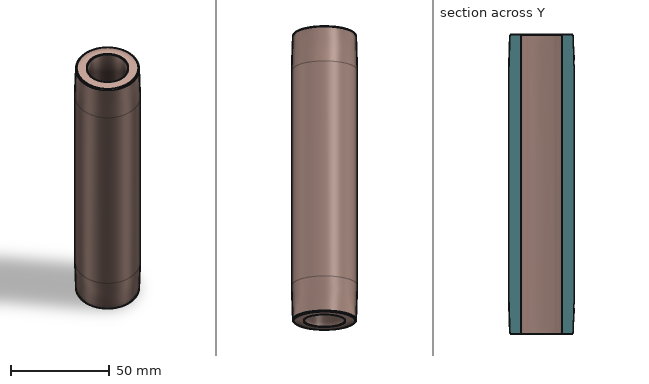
import cadquery as cq

length = 152.4
outer_diameter = 33.5
bore_diameter = 20.7

taper_length = 18.9
taper_ratio = 1 / 16

outer_chamfer = 0.6
bore_chamfer = 0.3

outer_radius = outer_diameter / 2
end_radius = outer_radius - taper_length * taper_ratio / 2


def tapered_body():
    """Solid of revolution: a cylinder narrowing to a cone at each end."""
    profile = (
        cq.Workplane("XZ")
        .moveTo(0, 0)
        .lineTo(end_radius, 0)
        .lineTo(outer_radius, taper_length)
        .lineTo(outer_radius, length - taper_length)
        .lineTo(end_radius, length)
        .lineTo(0, length)
        .close()
    )
    return profile.revolve(360, (0, 0, 0), (0, 1, 0))


body = tapered_body().faces("<Z or >Z").edges().chamfer(outer_chamfer)

bored_body = body.faces(">Z").workplane().hole(bore_diameter)

bore_rims = bored_body.edges(cq.selectors.RadiusNthSelector(0))
result = bore_rims.chamfer(bore_chamfer)